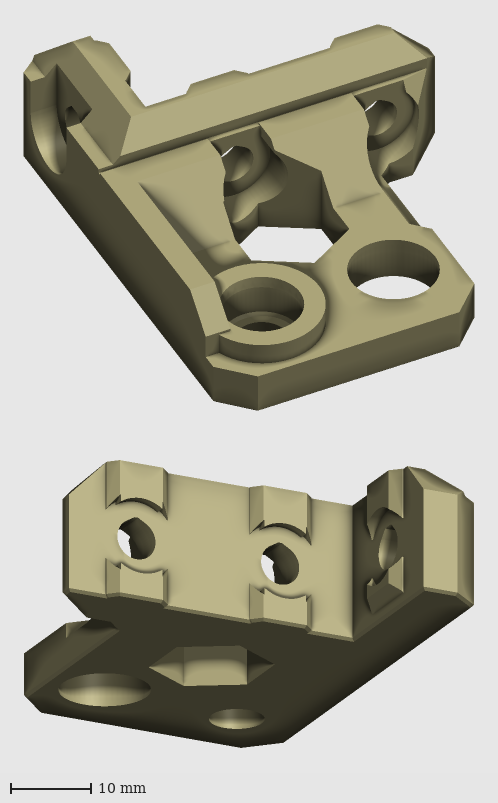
import cadquery as cq
import math

LENGTH = 60.3
DEPTH = 48.0
HEIGHT = 18.0
BOTTOM_CHAMFER = 0.35

FLOOR_TOP = 5.9
SHELF_TOP = 13.6
GROOVE_FLOOR = 13.4
LEDGE_TOP = 14.0

SIDE_WALL_X = 20.0
SIDE_WALL_END_X = 24.0
SHELF_END_X = 27.85
ARM_BACK_Y = 8.5
FRONT_WALL = 3.45
PLATE_BACK_Y = 36.4
CORNER = 4.15
ARM_CORNER_X = 2.95
ARM_CORNER_Y = 3.75
TIP_WIDTH = 1.75
SHELF_CORNER_Y = 38.6

ARM_END_BEVEL = 4.6
ARM_BEVEL_Y = 6.0
SIDE_BEVEL_X = 21.0
REAR_BEVEL = 5.2
GROOVE_WIDTH = 0.35
RELIEF_WIDTH = 0.7
RELIEF_BEVEL_ANGLE = 60

SHELF_RAMP_END_X = 35.15
WALL_RAMP_END_Y = 6.5
WALL_RAMP_TOP = 8.8
WALL_SLOPE_X = 49.6
WALL_END_X = 54.0

ARM_SCREW_D = 5.35
ARM_ROOF_ANGLE = 45
SIDE_SCREW_D = 5.3
SIDE_ROOF_ANGLE = 30
TEARDROP_FLAT = 1.1
HEAD_R = 5.0
ARM_SCREW_X = 9.95
ARM_SCREW_Z = 8.85
ARM_HEAD_DEPTH = 3.6
SIDE_SCREW_Z = 8.45
FRONT_SCREW_Y = 18.6
REAR_SCREW_Y = 38.6
FRONT_HEAD_END_X = 37.4
HEAD_CLEARANCE_X = 41.95
HEAD_CLEARANCE_Y = 34.1

PAD_WIDTH = 8.55
PAD_HEIGHT = 1.45
PAD_BEVEL = 1.25
FLARE_BASE_R = 5.35
FLARE_TOP_R = 5.8
FLARE_START = 2.9
ARM_PAD_BOTTOM = 1.5

HEX_ACROSS_CORNERS = 15.8
HEX_X = 35.75
HEX_Y = 20.3
ROD_HOLE_D = 11.6
ROD_X = 49.2
ROD_Y = 28.6

RING_X = 51.1
RING_Y = 9.3
RING_D = 16.0
RING_TOP = 8.85
RING_HOLE_D = 7.0
RING_BORE_D = 10.2
RING_MOUTH_D = 10.6
RING_SEAT_D = 9.4
RING_BORE_FLOOR = 3.0
MOUTH_DEPTH = 1.5


def box(x0, x1, y0, y1, z0, z1):
    return cq.Workplane("XY").box(x1 - x0, y1 - y0, z1 - z0, centered=False).translate((x0, y0, z0))


def prism_x(points, x0, x1):
    """Extrude a (y, z) outline along X."""
    return cq.Workplane("YZ").polyline(points).close().extrude(x1 - x0).translate((x0, 0, 0))


def prism_y(points, y0, y1):
    """Extrude an (x, z) outline along Y."""
    return cq.Workplane("XZ").polyline(points).close().extrude(y0 - y1).translate((0, y0, 0))


def prism_z(points, z0, z1):
    """Extrude an (x, y) outline along Z."""
    return cq.Workplane("XY").polyline(points).close().extrude(z1 - z0).translate((0, 0, z0))


def cylinder(x, y, diameter, z0, z1):
    return cq.Workplane("XY", origin=(x, y, z0)).circle(diameter / 2).extrude(z1 - z0)


def build_blank():
    """Full-height outline with a chamfered lower edge."""
    tip_x = SIDE_WALL_X + TIP_WIDTH
    shelf_back_y = DEPTH - (SHELF_END_X - tip_x)
    outline = [
        (ARM_CORNER_X, 0),
        (LENGTH - CORNER, 0),
        (LENGTH, CORNER),
        (LENGTH, PLATE_BACK_Y - CORNER),
        (LENGTH - CORNER, PLATE_BACK_Y),
        (SHELF_END_X + SHELF_CORNER_Y - PLATE_BACK_Y, PLATE_BACK_Y),
        (SHELF_END_X, SHELF_CORNER_Y),
        (SHELF_END_X, shelf_back_y),
        (tip_x, DEPTH),
        (SIDE_WALL_X, DEPTH),
        (SIDE_WALL_X, ARM_BACK_Y),
        (0, ARM_BACK_Y),
        (0, ARM_CORNER_Y),
    ]
    return prism_z(outline, 0, HEIGHT)


def ridge(centre, base, bottom):
    """Pad outline: a low trapezoid standing on a short straight foot, as (along, out) points."""
    half = PAD_WIDTH / 2
    foot = base + PAD_HEIGHT - PAD_BEVEL
    top = base + PAD_HEIGHT
    return [
        (centre - half, base - bottom),
        (centre - half, foot),
        (centre - half + PAD_BEVEL, top),
        (centre + half - PAD_BEVEL, top),
        (centre + half, foot),
        (centre + half, base - bottom),
    ]


def add_pads(body):
    overlap = 0.6
    for y in (FRONT_SCREW_Y, REAR_SCREW_Y):
        points = [(-out, along) for along, out in ridge(y, -SIDE_WALL_X, overlap)]
        body = body.union(prism_z(points, 0, HEIGHT))
    arm_pad = prism_z(ridge(ARM_SCREW_X, ARM_BACK_Y, overlap), ARM_PAD_BOTTOM, HEIGHT)
    pad_end = ARM_BACK_Y + PAD_HEIGHT
    under_bevel = prism_x(
        [
            (ARM_BACK_Y, ARM_PAD_BOTTOM),
            (pad_end, ARM_PAD_BOTTOM),
            (pad_end, ARM_PAD_BOTTOM + PAD_HEIGHT),
        ],
        ARM_SCREW_X - PAD_WIDTH,
        ARM_SCREW_X + PAD_WIDTH,
    )
    return body.union(arm_pad.cut(under_bevel))


def cut_top_bevels(body):
    body = body.cut(prism_y(
        [(0, HEIGHT), (0, HEIGHT - ARM_END_BEVEL), (ARM_END_BEVEL, HEIGHT)], 0, ARM_BACK_Y + PAD_HEIGHT))
    ledge_y = ARM_BEVEL_Y - (HEIGHT - LEDGE_TOP)
    body = body.cut(prism_x(
        [(0, HEIGHT), (0, LEDGE_TOP), (ledge_y, LEDGE_TOP), (ARM_BEVEL_Y, HEIGHT)], 0, LENGTH))
    bevel_bottom = HEIGHT - (SIDE_WALL_END_X - SIDE_BEVEL_X)
    body = body.cut(prism_y(
        [
            (SIDE_BEVEL_X, HEIGHT),
            (SIDE_WALL_END_X, bevel_bottom),
            (SIDE_WALL_END_X, GROOVE_FLOOR),
            (SIDE_WALL_END_X + GROOVE_WIDTH, GROOVE_FLOOR),
            (SIDE_WALL_END_X + GROOVE_WIDTH, SHELF_TOP),
            (LENGTH, SHELF_TOP),
            (LENGTH, HEIGHT),
        ],
        0,
        DEPTH,
    ))
    return body.cut(prism_x(
        [(DEPTH - REAR_BEVEL, HEIGHT), (DEPTH, HEIGHT - REAR_BEVEL), (DEPTH, HEIGHT)],
        SIDE_WALL_X - PAD_HEIGHT,
        LENGTH,
    ))


def cut_plate_recess(body):
    """Lower the plate to its floor, with ramps left along the shelf and the front wall."""
    recess = box(SHELF_END_X, LENGTH, FRONT_WALL, DEPTH, FLOOR_TOP, HEIGHT)
    shelf_ramp = prism_y(
        [(SHELF_END_X, FLOOR_TOP), (SHELF_RAMP_END_X, FLOOR_TOP), (SHELF_END_X, SHELF_TOP)], 0, DEPTH)
    wall_ramp = prism_x(
        [(FRONT_WALL, FLOOR_TOP), (WALL_RAMP_END_Y, FLOOR_TOP), (FRONT_WALL, WALL_RAMP_TOP)],
        SHELF_END_X,
        RING_X,
    )
    body = body.cut(recess.cut(shelf_ramp).cut(wall_ramp))
    slope_bottom = SHELF_TOP - (WALL_END_X - WALL_SLOPE_X)
    return body.cut(prism_y(
        [
            (WALL_SLOPE_X, SHELF_TOP),
            (WALL_END_X, slope_bottom),
            (WALL_END_X, FLOOR_TOP),
            (LENGTH, FLOOR_TOP),
            (LENGTH, SHELF_TOP),
        ],
        0,
        FRONT_WALL,
    ))


def chamfer_bottom(body):
    return body.faces("<Z").edges().chamfer(BOTTOM_CHAMFER)


def cut_plate_openings(body):
    hexagon = cq.Workplane("XY").center(HEX_X, HEX_Y).polygon(6, HEX_ACROSS_CORNERS).extrude(HEIGHT)
    return body.cut(hexagon).cut(cylinder(ROD_X, ROD_Y, ROD_HOLE_D, 0, HEIGHT))


def add_ring(body):
    mouth_z = RING_TOP - MOUTH_DEPTH
    seat_top = RING_BORE_FLOOR + (RING_BORE_D - RING_SEAT_D) / 2
    ring = cylinder(RING_X, RING_Y, RING_D, 0, RING_TOP)
    bore = (
        cq.Workplane("XZ")
        .polyline([
            (0, 0),
            (RING_HOLE_D / 2, 0),
            (RING_HOLE_D / 2, RING_BORE_FLOOR),
            (RING_SEAT_D / 2, RING_BORE_FLOOR),
            (RING_BORE_D / 2, seat_top),
            (RING_BORE_D / 2, mouth_z),
            (RING_MOUTH_D / 2, RING_TOP),
            (0, RING_TOP),
        ])
        .close()
        .revolve(360, (0, 0, 0), (0, 1, 0))
        .translate((RING_X, RING_Y, 0))
    )
    return body.union(ring).cut(bore)


def teardrop(plane, diameter, roof_angle):
    """Screw hole outline with a truncated gabled roof."""
    radius = diameter / 2
    roof_sin = math.sin(math.radians(roof_angle))
    roof_cos = math.cos(math.radians(roof_angle))
    tangent = (radius * roof_sin, radius * roof_cos)
    flat_z = radius * TEARDROP_FLAT
    flat_half = (radius - flat_z * roof_cos) / roof_sin
    return (
        plane.moveTo(-tangent[0], tangent[1])
        .threePointArc((0, -radius), tangent)
        .lineTo(flat_half, flat_z)
        .lineTo(-flat_half, flat_z)
        .close()
    )


def flared_pad_gap(base):
    """Round gap through a pad standing on base, flared where it meets the pad's sloped sides."""
    gap = base.circle(HEAD_R).extrude(PAD_HEIGHT)
    flare = base.circle(FLARE_BASE_R).workplane(offset=PAD_HEIGHT).circle(FLARE_TOP_R).loft()
    crown = base.rect(2 * FLARE_START, 2 * HEIGHT).extrude(PAD_HEIGHT)
    return gap.union(flare.cut(crown))


def cut_arm_screw(body):
    front = cq.Workplane("XZ", origin=(ARM_SCREW_X, 0, ARM_SCREW_Z))
    back = cq.Workplane("XZ", origin=(ARM_SCREW_X, ARM_BACK_Y, ARM_SCREW_Z))
    reach = ARM_BACK_Y + PAD_HEIGHT
    hole = teardrop(front, ARM_SCREW_D, ARM_ROOF_ANGLE).extrude(-reach)
    head = front.circle(HEAD_R).extrude(-ARM_HEAD_DEPTH)
    entry = box(ARM_SCREW_X - HEAD_R, ARM_SCREW_X + HEAD_R, 0, ARM_HEAD_DEPTH, ARM_SCREW_Z, HEIGHT)
    pad_gap = back.circle(HEAD_R).extrude(-PAD_HEIGHT)
    return body.cut(hole).cut(head).cut(entry).cut(pad_gap)


def cut_side_screw(body, y, head_clearance):
    """Screw hole with its head slot; head_clearance limits the round part of the slot."""
    relief_end = SIDE_WALL_END_X + RELIEF_WIDTH
    pad_x = SIDE_WALL_X - PAD_HEIGHT
    slot_half = HEAD_R * math.sqrt(0.5)
    axis = cq.Workplane("YZ", origin=(pad_x, y, SIDE_SCREW_Z))
    hole = teardrop(axis, SIDE_SCREW_D, SIDE_ROOF_ANGLE).extrude(relief_end - pad_x)
    outside = cq.Workplane(cq.Plane((SIDE_WALL_X, y, SIDE_SCREW_Z), (0, 1, 0), (-1, 0, 0)))
    head = cq.Workplane("YZ", origin=(relief_end, y, SIDE_SCREW_Z)).circle(HEAD_R).extrude(LENGTH)
    slot_y = (y - slot_half, y + slot_half)
    slot_base = SIDE_SCREW_Z + slot_half
    slot = box(relief_end, SHELF_RAMP_END_X, *slot_y, slot_base, HEIGHT)
    relief = box(SIDE_WALL_END_X, relief_end, *slot_y, GROOVE_FLOOR, SHELF_TOP)
    body = body.cut(hole).cut(flared_pad_gap(outside))
    return body.cut(head.intersect(head_clearance)).cut(slot).cut(relief)


def cut_side_screws(body):
    front_limit = box(SIDE_WALL_X, FRONT_HEAD_END_X, 0, DEPTH, 0, HEIGHT)
    body = cut_side_screw(body, FRONT_SCREW_Y, front_limit)
    run_out = DEPTH - HEAD_CLEARANCE_Y
    rear_limit = prism_z(
        [
            (SIDE_WALL_X, 0),
            (HEAD_CLEARANCE_X, 0),
            (HEAD_CLEARANCE_X, HEAD_CLEARANCE_Y),
            (HEAD_CLEARANCE_X + run_out, DEPTH),
            (SIDE_WALL_X, DEPTH),
        ],
        0,
        HEIGHT,
    )
    return cut_side_screw(body, REAR_SCREW_Y, rear_limit)


def cut_rear_relief(body):
    """Relief tapering out behind the rear slot, with the shelf bevelled along its slanted edge."""
    slot_end = REAR_SCREW_Y + HEAD_R * math.sqrt(0.5)
    taper_end = DEPTH + SIDE_WALL_X + TIP_WIDTH - SIDE_WALL_END_X
    taper = [
        (SIDE_WALL_END_X, slot_end),
        (SIDE_WALL_END_X + RELIEF_WIDTH, slot_end),
        (SIDE_WALL_END_X, taper_end),
    ]
    body = body.cut(prism_z(taper, GROOVE_FLOOR, SHELF_TOP))
    reach = SHELF_END_X - SIDE_WALL_END_X
    taper_length = math.hypot(RELIEF_WIDTH, taper_end - slot_end)
    taper_angle = math.degrees(math.atan2(RELIEF_WIDTH, taper_end - slot_end))
    drop = reach * math.tan(math.radians(RELIEF_BEVEL_ANGLE))
    bevel = prism_y([(0, 0), (reach, -drop), (reach, reach), (0, reach)], -taper_length - RELIEF_WIDTH, 0)
    bevel = bevel.rotate((0, 0, 0), (0, 0, 1), taper_angle)
    return body.cut(bevel.translate((SIDE_WALL_END_X, taper_end, GROOVE_FLOOR)))


result = build_blank()
result = add_pads(result)
result = chamfer_bottom(result)
result = cut_top_bevels(result)
result = cut_plate_recess(result)
result = add_ring(result)
result = cut_plate_openings(result)
result = cut_arm_screw(result)
result = cut_side_screws(result)
result = cut_rear_relief(result)